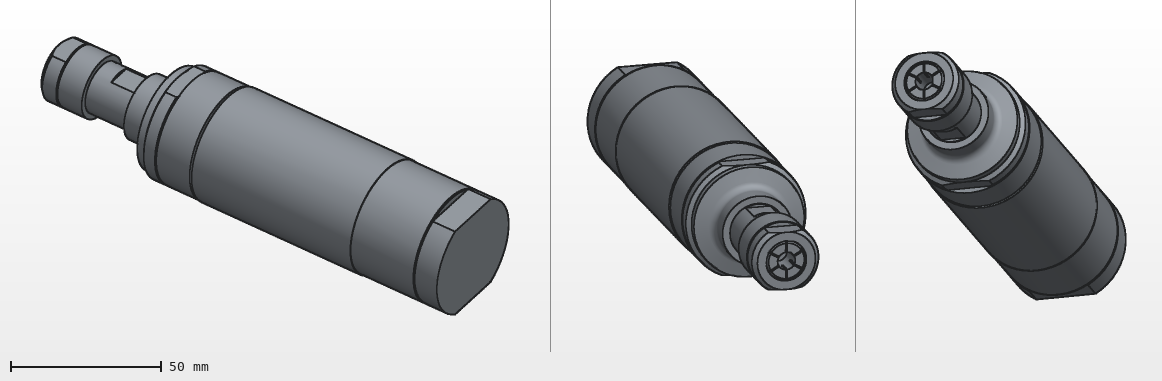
import cadquery as cq
import math

TOTAL_LENGTH = 168.5

NUT_DIAMETER = 23.0
NUT_CHAMFER = 1.5
NUT_FLAT_END = 7.0
NUT_ACROSS_FLATS = 19.9
NUT_END = 17.5
NUT_BORE_DIAMETER = 13.8

COLLET_FACE_DIAMETER = 12.3
COLLET_CONE_DEPTH = 1.0
COLLET_HOLE_DIAMETER = 6.0
COLLET_HOLE_DEPTH = 10.1
COLLET_SLOT_COUNT = 6
COLLET_SLOT_WIDTH = 0.5
COLLET_SLOT_DEPTH = 5.0

SHAFT_DIAMETER = 19.0
SHAFT_FLAT_START = 24.5
SHAFT_FLAT_END = 34.4
SHAFT_ACROSS_FLATS = 17.0

HUB_START = 35.0
HUB_END = 41.3
HUB_DIAMETER = 24.0
FLARE_RADIUS = 2.9
FLARE_CONE_ANGLE = math.radians(15.0)
FLANGE_DIAMETER = 38.0

CAP_DIAMETER = 41.5
CAP_START = 48.2
CAP_CHAMFER_LENGTH = 1.0
CAP_FLAT_END = 54.2
CAP_END = 67.9

GROOVE_DIAMETER = 36.0
SLEEVE_START = 68.9
SLEEVE_END = 133.4
SLEEVE_DIAMETER = 42.0
REAR_FLAT_START = 159.3
REAR_ACROSS_FLATS = 36.0

RELIEF_WIDTH = 0.5
RELIEF_DEPTH = 0.2


def turned_body():
    """Revolve the stepped half outline around the X axis."""
    nut = NUT_DIAMETER / 2
    shaft = SHAFT_DIAMETER / 2
    hub = HUB_DIAMETER / 2
    flange = FLANGE_DIAMETER / 2
    cap = CAP_DIAMETER / 2
    groove = GROOVE_DIAMETER / 2
    sleeve = SLEEVE_DIAMETER / 2

    def flare_point(angle):
        """Point on the flare arc, turned by the given angle from the hub surface."""
        x = HUB_END + FLARE_RADIUS * math.sin(angle)
        r = hub + FLARE_RADIUS * (1 - math.cos(angle))
        return x, r

    flare_turn = math.pi / 2 - FLARE_CONE_ANGLE
    flare_end = flare_point(flare_turn)
    flange_start = flare_end[0] + (flange - flare_end[1]) * math.tan(FLARE_CONE_ANGLE)

    outline = (
        cq.Workplane("XY")
        .moveTo(0, 0)
        .lineTo(0, nut - NUT_CHAMFER)
        .lineTo(NUT_CHAMFER, nut)
        .lineTo(NUT_END, nut)
        .lineTo(NUT_END, shaft)
        .lineTo(HUB_START, shaft)
        .lineTo(HUB_START, hub)
        .lineTo(HUB_END, hub)
        .threePointArc(flare_point(flare_turn / 2), flare_end)
        .lineTo(flange_start, flange)
        .lineTo(CAP_START, flange)
        .lineTo(CAP_START + CAP_CHAMFER_LENGTH, cap)
        .lineTo(CAP_END, cap)
        .lineTo(CAP_END, groove)
        .lineTo(SLEEVE_START, groove)
        .lineTo(SLEEVE_START, sleeve)
        .lineTo(SLEEVE_END, sleeve)
        .lineTo(SLEEVE_END, cap)
        .lineTo(TOTAL_LENGTH, cap)
        .lineTo(TOTAL_LENGTH, 0)
        .close()
    )
    return outline.revolve(360, (0, 0, 0), (1, 0, 0))


def ring(start, length, outer_diameter, inner_diameter):
    """Tube along X, used to cut annular grooves."""
    return (
        cq.Workplane("YZ", origin=(start, 0, 0))
        .circle(outer_diameter / 2)
        .circle(inner_diameter / 2)
        .extrude(length)
    )


def flat_pair(start, end, across_flats):
    """Two blocks that cut parallel flats above and below the axis."""
    length = end - start
    block_height = SLEEVE_DIAMETER / 2
    blocks = cq.Workplane("XY")
    for side in (1, -1):
        z_center = side * (across_flats + block_height) / 2
        block = cq.Workplane("XY").box(length, SLEEVE_DIAMETER, block_height)
        blocks = blocks.add(block.translate((start + length / 2, 0, z_center)))
    return blocks.combine()


def collet_gap():
    """V-shaped ring between the straight nut bore and the conical collet edge."""
    bore_radius = NUT_BORE_DIAMETER / 2
    section = (
        cq.Workplane("XY")
        .moveTo(0, COLLET_FACE_DIAMETER / 2)
        .lineTo(0, bore_radius)
        .lineTo(COLLET_CONE_DEPTH, bore_radius)
        .close()
    )
    return section.revolve(360, (0, 0, 0), (1, 0, 0))


def collet_cuts():
    """Centre hole, radial slots and the gap between collet and nut."""
    cuts = collet_gap()
    hole = cq.Workplane("YZ").circle(COLLET_HOLE_DIAMETER / 2).extrude(COLLET_HOLE_DEPTH)
    cuts = cuts.union(hole)
    slot_length = NUT_BORE_DIAMETER / 2
    for index in range(COLLET_SLOT_COUNT):
        slot = (
            cq.Workplane("YZ")
            .center(0, slot_length / 2)
            .rect(COLLET_SLOT_WIDTH, slot_length)
            .extrude(COLLET_SLOT_DEPTH)
            .rotate((0, 0, 0), (1, 0, 0), index * 360 / COLLET_SLOT_COUNT)
        )
        cuts = cuts.union(slot)
    return cuts


def relief_groove(start, diameter):
    """Shallow groove around a cylinder of the given diameter."""
    return ring(start, RELIEF_WIDTH, SLEEVE_DIAMETER, diameter - 2 * RELIEF_DEPTH)


result = (
    turned_body()
    .cut(flat_pair(0, NUT_FLAT_END, NUT_ACROSS_FLATS))
    .cut(flat_pair(SHAFT_FLAT_START, SHAFT_FLAT_END, SHAFT_ACROSS_FLATS))
    .cut(flat_pair(CAP_START, CAP_FLAT_END, FLANGE_DIAMETER))
    .cut(flat_pair(REAR_FLAT_START, TOTAL_LENGTH, REAR_ACROSS_FLATS))
    .cut(relief_groove(NUT_FLAT_END, NUT_DIAMETER))
    .cut(relief_groove(CAP_FLAT_END - RELIEF_WIDTH, CAP_DIAMETER))
    .cut(relief_groove(REAR_FLAT_START - RELIEF_WIDTH, CAP_DIAMETER))
    .cut(collet_cuts())
)